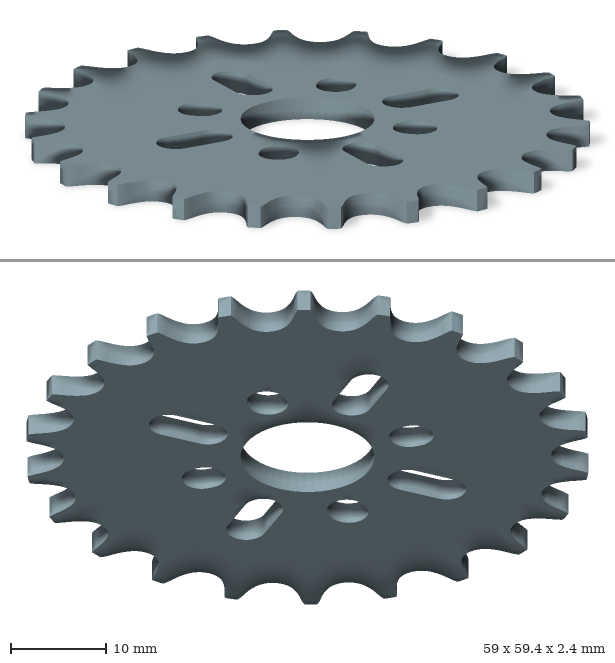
import cadquery as cq
import math

tooth_count = 22
thickness = 2.4
outer_radius = 29.7
chain_pitch = 8.0
roller_diameter = 5.0
seat_radius = 2.55

bore_diameter = 14.1
slot_width = 4.15
slot_length = 8.7
slot_distance = 13.7
short_slot_length = 4.7
short_slot_distance = 11.7

tooth_angle = 360 / tooth_count
pitch_radius = chain_pitch / (2 * math.sin(math.radians(tooth_angle / 2)))


half_seat = math.radians(55 - 60 / tooth_count)
working_turn = math.radians(18 - 56 / tooth_count)
topping_turn = math.radians(17 - 64 / tooth_count)
flank_angle = half_seat + working_turn
working_radius = 1.3025 * roller_diameter
flank_length = roller_diameter * (1.4 * math.sin(topping_turn) - 0.8 * math.sin(working_turn))
topping_radius = roller_diameter * (0.8 * math.cos(working_turn) + 1.4 * math.cos(topping_turn) - 1.3025)
topping_sweep = math.radians(30)


def arc_point(center, radius, angle):
    """Point on a circle, with the angle measured from the inward radial direction."""
    return center[0] - radius * math.cos(angle), center[1] + radius * math.sin(angle)


def mirrored(point):
    return point[0], -point[1]


def tooth_gap(direction):
    """Cutter for one tooth gap, drawn along X and turned to its direction."""
    roller_center = (pitch_radius, 0)
    seat_bottom = arc_point(roller_center, seat_radius, 0)
    seat_end = arc_point(roller_center, seat_radius, half_seat)

    working_center = arc_point(seat_end, -working_radius, half_seat)
    working_middle = arc_point(working_center, working_radius, half_seat + working_turn / 2)
    working_end = arc_point(working_center, working_radius, flank_angle)

    flank_end = (
        working_end[0] + flank_length * math.sin(flank_angle),
        working_end[1] + flank_length * math.cos(flank_angle),
    )

    topping_center = arc_point(flank_end, topping_radius, flank_angle)
    topping_middle = arc_point(topping_center, -topping_radius, flank_angle - topping_sweep / 2)
    topping_end = arc_point(topping_center, -topping_radius, flank_angle - topping_sweep)

    return (
        cq.Workplane("XY")
        .moveTo(*mirrored(topping_end))
        .threePointArc(mirrored(topping_middle), mirrored(flank_end))
        .lineTo(*mirrored(working_end))
        .threePointArc(mirrored(working_middle), mirrored(seat_end))
        .threePointArc(seat_bottom, seat_end)
        .threePointArc(working_middle, working_end)
        .lineTo(*flank_end)
        .threePointArc(topping_middle, topping_end)
        .close()
        .extrude(thickness)
        .rotate((0, 0, 0), (0, 0, 1), direction)
    )


def radial_slots(length, distance, first_direction):
    """Cutter for four slots, each pointing at the axis of the plate."""
    return (
        cq.Workplane("XY")
        .polarArray(distance, first_direction, 360, 4)
        .slot2D(length, slot_width)
        .extrude(thickness)
    )


result = cq.Workplane("XY").circle(outer_radius).extrude(thickness)
first_gap = 90 + tooth_angle / 2
for gap in range(tooth_count):
    result = result.cut(tooth_gap(first_gap + gap * tooth_angle))

bore = cq.Workplane("XY").circle(bore_diameter / 2).extrude(thickness)
result = result.cut(bore)
result = result.cut(radial_slots(slot_length, slot_distance, 0))
result = result.cut(radial_slots(short_slot_length, short_slot_distance, 45))